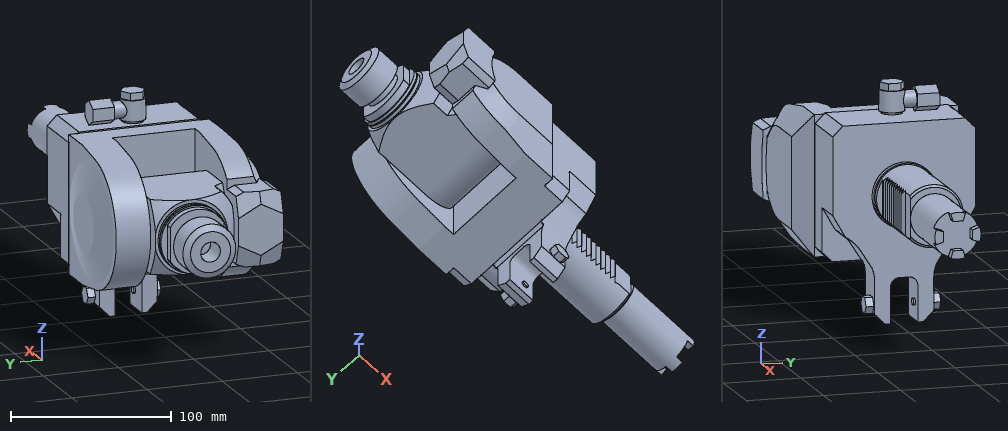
import cadquery as cq
import math


block_length = 38.7
block_half = 46.5
block_bottom = -45.5
block_chamfer = 6.5

swivel_x = -79.5
fork_half_height = 45.5
fork_radius = 42.7
fork_shoulder_x = -63.0
cheek_back_y = 46.6
cheek_front_y = -58.2
gap_back_y = 23.7
gap_front_y = -31.0
front_cheek_end_x = -111.0
bevel_start_y = -47.0
bevel_half_height = 29.7
cap_height = 5.5
cap_base_radius = 38.5
cap_top_radius = 18.0

head_half_height = 24.3
head_front_x = -130.5
head_turned_radius = 34.2
head_turned_end_x = -108.5
head_clearance = 2.8

nose_x = -164.5
nut_end_x = -146.0
nut_radius = 17.5
nut_face_radius = 13.3
nut_chamfer_length = 2.3
neck_end_x = -140.8
neck_radius = 12.5
collar_end_x = -135.7
collar_radius = 21.0
collar_half_flats = 17.8
ring_radius = 22.0
ring_width = 2.3
ring_groove_width = 0.5
ring_groove_radius = 21.2
bore_radius = 6.5
bore_depth = 17.0

clamp_front_x = -131.5
clamp_back_x = -103.8
clamp_outer_y = -61.0
clamp_edge_y = 5.0
clamp_edge_z = 2.3
clamp_face_half_z = 16.7
clamp_face_half_y = 32.0
clamp_facet_slope = 3.0
clamp_relief_depth = 2.5
clamp_relief_half_z = 18.5

flange_length = 3.7
flange_radius = 21.0
shank_radius = 20.0
shank_end_x = 62.8
shank_chamfer = 1.5
shaft_start_x = 64.5
shaft_neck_radius = 11.5
shaft_radius = 15.0
shaft_end_x = 118.2
lug_length = 5.5
lug_half_angle = 18.7
lug_inner = 9.3

flat_start_x = 7.0
teeth_start_x = 9.3
teeth_end_x = 51.5
tooth_count = 10
tooth_tip_y = -16.0
tooth_root_y = -13.9
flat_y = -14.5

fitting_x = -27.7
fitting_radius = 8.2
fitting_foot_radius = 6.8
fitting_foot_height = 1.5
fitting_body_top = 61.5
fitting_top = 66.5
fitting_head_flats = 14.0
arm_z = 54.5
arm_radius = 5.7
arm_nut_start_y = 14.7
arm_nut_end_y = 29.0
arm_nut_flats = 14.0

bracket_length = 20.5
bracket_bottom = -82.0
bracket_half_width = 19.2
bracket_root_half_width = 21.0
bracket_root_end_z = -54.0
bracket_chamfer = 6.8
bracket_heel_height = 2.3
slot_half_width = 8.8
slot_top_z = -53.0
slot_fillet = 5.7
bolt_x = -7.5
bolt_z = -70.5
bolt_flats = 10.5
bolt_head_height = 5.0
bolt_tip_radius = 2.3
bolt_tip_length = 1.0

undercut_length = 23.2
undercut_top_z = -10.5
undercut_band_top_y = 38.0
undercut_band_top_z = -25.2
undercut_band_bottom_y = 28.5
undercut_band_bottom_z = -33.6


def box(x0, x1, y0, y1, z0, z1):
    """Box between two opposite corners."""
    return cq.Workplane("XY").box(x1 - x0, y1 - y0, z1 - z0, centered=False).translate((x0, y0, z0))


def rod_x(x0, x1, radius):
    """Cylinder on the X axis."""
    return cq.Workplane("YZ", origin=(x0, 0, 0)).circle(radius).extrude(x1 - x0)


def turned_x(points):
    """Solid turned about the X axis from (x, radius) points."""
    return cq.Workplane("XY").polyline(points).close().revolve(360, (0, 0, 0), (1, 0, 0))


def along_y(x, z, y0, y1):
    """Workplane normal to +Y at (x, y0, z), with the length to extrude from it to y1."""
    plane = cq.Plane(origin=(x, y0, z), xDir=(1, 0, 0), normal=(0, 1, 0))
    return cq.Workplane(plane), y1 - y0


def hexagon(flats, first_corner):
    """Hexagon corners for a distance across flats, starting at an angle in degrees."""
    radius = flats / math.sqrt(3)
    angles = [math.radians(first_corner + 60 * i) for i in range(6)]
    return [(radius * math.cos(a), radius * math.sin(a)) for a in angles]


def make_block():
    """Housing block with chamfered long edges and an undercut on each side of the bracket."""
    block = box(-block_length, 0, -block_half, block_half, block_bottom, block_half)
    block = block.edges("|X").chamfer(block_chamfer)
    for side in (-1, 1):
        undercut = (
            cq.Workplane("YZ", origin=(-undercut_length, 0, 0))
            .moveTo(side * bracket_root_half_width, block_bottom)
            .lineTo(side * undercut_band_bottom_y, undercut_band_bottom_z)
            .tangentArcPoint((side * undercut_band_top_y, undercut_band_top_z), relative=False)
            .lineTo(side * block_half, undercut_top_z)
            .lineTo(side * block_half, block_bottom)
            .close()
            .extrude(undercut_length)
        )
        block = block.cut(undercut)
    return block


def make_fork():
    """Fork with a round-ended back cheek and a bevelled front cheek."""
    shoulder_dx = fork_shoulder_x - swivel_x
    shoulder_distance = math.hypot(shoulder_dx, fork_half_height)
    tangent_angle = math.atan2(fork_half_height, shoulder_dx) + math.acos(fork_radius / shoulder_distance)
    tangent_x = swivel_x + fork_radius * math.cos(tangent_angle)
    tangent_z = fork_radius * math.sin(tangent_angle)
    outline = (
        cq.Workplane("XZ", origin=(0, cheek_back_y, 0))
        .moveTo(-block_length, -fork_half_height)
        .lineTo(-block_length, fork_half_height)
        .lineTo(fork_shoulder_x, fork_half_height)
        .lineTo(tangent_x, tangent_z)
        .threePointArc((swivel_x - fork_radius, 0), (tangent_x, -tangent_z))
        .lineTo(fork_shoulder_x, -fork_half_height)
        .close()
    )
    fork = outline.extrude(cheek_back_y - cheek_front_y)

    cone = (
        cq.Workplane("XY", origin=(swivel_x, 0, 0))
        .polyline([
            (0, cheek_back_y),
            (fork_half_height, cheek_back_y),
            (fork_half_height, bevel_start_y),
            (bevel_half_height, cheek_front_y),
            (0, cheek_front_y),
        ])
        .close()
        .revolve(360, (0, 0, 0), (0, 1, 0))
    )
    prism = (
        cq.Workplane("YZ", origin=(swivel_x, 0, 0))
        .polyline([
            (cheek_back_y, fork_half_height),
            (bevel_start_y, fork_half_height),
            (cheek_front_y, bevel_half_height),
            (cheek_front_y, -bevel_half_height),
            (bevel_start_y, -fork_half_height),
            (cheek_back_y, -fork_half_height),
        ])
        .close()
        .extrude(-block_length - swivel_x)
    )
    fork = fork.intersect(cone.union(prism))

    bevel_depth = bevel_start_y - cheek_front_y
    end_bevel = (
        cq.Workplane("XY", origin=(0, 0, -fork_half_height))
        .polyline([
            (-block_length, bevel_start_y),
            (-block_length, cheek_front_y),
            (-block_length - bevel_depth, cheek_front_y),
        ])
        .close()
        .extrude(2 * fork_half_height)
    )
    fork = fork.cut(end_bevel)

    fork_left_x = swivel_x - fork_radius
    gap_end_x = swivel_x + head_half_height
    gap = box(fork_left_x, gap_end_x, gap_front_y, gap_back_y, -fork_half_height, fork_half_height)
    cheek_end = box(
        fork_left_x, front_cheek_end_x, cheek_front_y, gap_front_y, -fork_half_height, fork_half_height
    )
    return fork.cut(gap).cut(cheek_end)


def make_cap():
    """Low conical cap on the back cheek."""
    cap_top_y = cheek_back_y + cap_height
    return (
        cq.Workplane("XY", origin=(swivel_x, 0, 0))
        .polyline([
            (0, cheek_back_y),
            (cap_base_radius, cheek_back_y),
            (cap_top_radius, cap_top_y),
            (0, cap_top_y),
        ])
        .close()
        .revolve(360, (0, 0, 0), (0, 1, 0))
    )


def make_head():
    """Swivel head: a bar with a round back end, its front corners turned down about the X axis."""
    plane, width = along_y(swivel_x, 0, gap_front_y, gap_back_y)
    bar = box(head_front_x, swivel_x, gap_front_y, gap_back_y, -head_half_height, head_half_height)
    bar = bar.union(plane.circle(head_half_height).extrude(width))
    full_radius = math.hypot(gap_front_y, head_half_height) + head_clearance
    cone_length = head_turned_radius - head_half_height
    back_x = swivel_x + head_half_height
    envelope = turned_x([
        (head_front_x, 0),
        (head_front_x, head_half_height),
        (head_front_x + cone_length, head_turned_radius),
        (head_turned_end_x, head_turned_radius),
        (head_turned_end_x + full_radius - head_turned_radius, full_radius),
        (back_x, full_radius),
        (back_x, 0),
    ])
    return bar.intersect(envelope)


def make_spindle():
    """Spindle nose: bored nut, neck, flatted collar and two thin rings."""
    nut = turned_x([
        (nose_x, 0),
        (nose_x, nut_face_radius),
        (nose_x + nut_chamfer_length, nut_radius),
        (nut_end_x, nut_radius),
        (nut_end_x, 0),
    ])
    neck = rod_x(nut_end_x, neck_end_x, neck_radius)
    collar = rod_x(neck_end_x, collar_end_x, collar_radius).intersect(
        box(neck_end_x, collar_end_x, -collar_half_flats, collar_half_flats, -collar_radius, collar_radius)
    )
    groove_end_x = collar_end_x + ring_width + ring_groove_width
    first_ring = rod_x(collar_end_x, collar_end_x + ring_width, ring_radius)
    ring_groove = rod_x(collar_end_x + ring_width, groove_end_x, ring_groove_radius)
    second_ring = rod_x(groove_end_x, head_front_x, ring_radius)
    spindle = nut.union(neck).union(collar).union(first_ring).union(ring_groove).union(second_ring)
    return spindle.cut(rod_x(nose_x, nose_x + bore_depth, bore_radius))


def make_clamp():
    """Clamp block with eased long edges and a front end faceted like a shallow pyramid."""
    half_width = (gap_front_y - clamp_outer_y) / 2
    middle_y = (gap_front_y + clamp_outer_y) / 2
    length = clamp_back_x - clamp_front_x
    bar = cq.Workplane("YZ", origin=(clamp_front_x, middle_y, 0)).polyline([
        (half_width, head_half_height - clamp_edge_z),
        (half_width - clamp_edge_y, head_half_height),
        (clamp_edge_y - half_width, head_half_height),
        (-half_width, head_half_height - clamp_edge_z),
        (-half_width, clamp_edge_z - head_half_height),
        (clamp_edge_y - half_width, -head_half_height),
        (half_width - clamp_edge_y, -head_half_height),
        (half_width, clamp_edge_z - head_half_height),
    ]).close().extrude(length)

    growth = 1 + clamp_facet_slope * length / clamp_face_half_z
    rhombus = [
        (clamp_face_half_y, 0),
        (0, clamp_face_half_z),
        (-clamp_face_half_y, 0),
        (0, -clamp_face_half_z),
    ]
    pyramid = (
        cq.Workplane("YZ", origin=(clamp_front_x, middle_y, 0))
        .polyline(rhombus)
        .close()
        .workplane(offset=length)
        .polyline([(growth * y, growth * z) for y, z in rhombus])
        .close()
        .loft(ruled=True)
    )

    plane, proud_height = along_y(clamp_back_x, 0, clamp_outer_y, cheek_front_y)
    relief = (
        plane.moveTo(0, clamp_relief_half_z)
        .threePointArc((-clamp_relief_depth, 0), (0, -clamp_relief_half_z))
        .close()
        .extrude(proud_height)
    )
    return bar.intersect(pyramid).cut(relief)


def make_shank():
    """Flanged shank with a toothed flat on its -Y side."""
    shank = turned_x([
        (0, 0),
        (0, flange_radius),
        (flange_length, flange_radius),
        (flange_length, shank_radius),
        (shank_end_x - shank_chamfer, shank_radius),
        (shank_end_x, shank_radius - shank_chamfer),
        (shank_end_x, 0),
    ])
    pitch = (teeth_end_x - teeth_start_x) / tooth_count
    cut_profile = [
        (shank_end_x, -shank_radius),
        (flat_start_x, -shank_radius),
        (flat_start_x, tooth_tip_y),
        (teeth_start_x, tooth_tip_y),
    ]
    for i in range(tooth_count):
        start = teeth_start_x + i * pitch
        cut_profile.append((start + pitch / 2, tooth_root_y))
        if i < tooth_count - 1:
            cut_profile.append((start + pitch, tooth_tip_y))
    cut_profile.append((teeth_end_x, flat_y))
    cut_profile.append((shank_end_x, flat_y))
    flat = cq.Workplane("XY").polyline(cut_profile).close().extrude(shank_radius, both=True)
    return shank.cut(flat)


def make_shaft():
    """Drive shaft with four radial-sided lugs on its end, two across Y and two across Z."""
    lug_start_x = shaft_end_x - lug_length
    neck = rod_x(shank_end_x, shaft_start_x, shaft_neck_radius)
    shaft = rod_x(shaft_start_x, shaft_end_x, shaft_radius)
    waste = box(lug_start_x, shaft_end_x, -shaft_radius, shaft_radius, -shaft_radius, shaft_radius)
    spread = shaft_radius * math.tan(math.radians(lug_half_angle))
    wedge = (
        cq.Workplane("YZ", origin=(lug_start_x, 0, 0))
        .polyline([(0, 0), (shaft_radius, spread), (shaft_radius, -spread)])
        .close()
        .extrude(lug_length)
    )
    for angle in (0, 90, 180, 270):
        waste = waste.cut(wedge.rotate((0, 0, 0), (1, 0, 0), angle))
    waste = waste.union(box(lug_start_x, shaft_end_x, -lug_inner, lug_inner, -lug_inner, lug_inner))
    return neck.union(shaft.cut(waste))


def make_fitting():
    """Upright coolant fitting with a side arm toward +Y."""
    foot_top = block_half + fitting_foot_height
    foot = cq.Workplane("XY", origin=(fitting_x, 0, block_half)).circle(fitting_foot_radius)
    body = cq.Workplane("XY", origin=(fitting_x, 0, foot_top)).circle(fitting_radius)
    head = cq.Workplane("XY", origin=(fitting_x, 0, fitting_body_top))
    head = head.polyline(hexagon(fitting_head_flats, 90)).close()
    fitting = (
        foot.extrude(fitting_foot_height)
        .union(body.extrude(fitting_body_top - foot_top))
        .union(head.extrude(fitting_top - fitting_body_top))
    )
    plane, length = along_y(fitting_x, arm_z, 0, arm_nut_start_y)
    fitting = fitting.union(plane.circle(arm_radius).extrude(length))
    plane, length = along_y(fitting_x, arm_z, arm_nut_start_y, arm_nut_end_y)
    return fitting.union(plane.polyline(hexagon(arm_nut_flats, 90)).close().extrude(length))


def make_bracket():
    """Slotted bracket with a hexagon bolt through each leg."""
    leg_inner = bracket_half_width - bracket_chamfer
    root_middle_y = bracket_half_width + (bracket_root_half_width - bracket_half_width) / 4
    root_middle_z = (block_bottom + bracket_root_end_z) / 2
    bracket = (
        cq.Workplane("YZ", origin=(-bracket_length, 0, 0))
        .moveTo(-leg_inner, bracket_bottom)
        .lineTo(-bracket_half_width, bracket_bottom + bracket_chamfer)
        .lineTo(-bracket_half_width, bracket_root_end_z)
        .threePointArc((-root_middle_y, root_middle_z), (-bracket_root_half_width, block_bottom))
        .lineTo(bracket_root_half_width, block_bottom)
        .threePointArc((root_middle_y, root_middle_z), (bracket_half_width, bracket_root_end_z))
        .lineTo(bracket_half_width, bracket_bottom + bracket_chamfer)
        .lineTo(leg_inner, bracket_bottom)
        .close()
        .extrude(bracket_length)
    )
    heel = (
        cq.Workplane("XZ", origin=(0, bracket_root_half_width, 0))
        .polyline([
            (-bracket_length, block_bottom),
            (-undercut_length, block_bottom),
            (-bracket_length, block_bottom - bracket_heel_height),
        ])
        .close()
        .extrude(2 * bracket_root_half_width)
    )
    bracket = bracket.union(heel)
    slot = box(-bracket_length, 0, -slot_half_width, slot_half_width, bracket_bottom, slot_top_z)
    bracket = bracket.cut(slot.edges("|X and >Z").fillet(slot_fillet))

    for side in (-1, 1):
        plane, height = along_y(bolt_x, bolt_z, side * bracket_half_width,
                                side * (bracket_half_width + bolt_head_height))
        bracket = bracket.union(plane.polyline(hexagon(bolt_flats, 0)).close().extrude(height))
        plane, length = along_y(bolt_x, bolt_z, side * bracket_half_width,
                                side * (slot_half_width - bolt_tip_length))
        bracket = bracket.union(plane.circle(bolt_tip_radius).extrude(length))
    return bracket


result = make_block()
for piece in (
    make_fork(),
    make_cap(),
    make_head(),
    make_spindle(),
    make_clamp(),
    make_shank(),
    make_shaft(),
    make_fitting(),
    make_bracket(),
):
    result = result.union(piece)